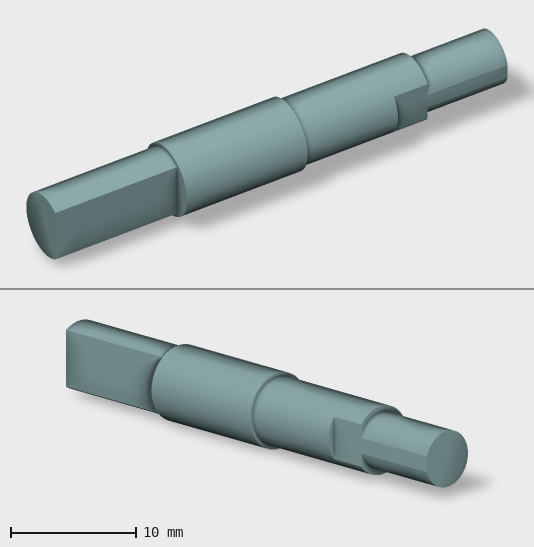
import cadquery as cq

total_length = 42.0

journal_diameter = 5.71
collar_diameter = 6.325
tail_diameter = 4.68

drive_length = 11.4
collar_length = 11.3
tail_length = 7.5
rear_journal_length = total_length - drive_length - collar_length - tail_length

drive_flat_offset = 1.6
rear_flat_offset = 2.25
rear_flat_length = 10.65

collar_start = drive_length
rear_journal_start = collar_start + collar_length
tail_start = rear_journal_start + rear_journal_length


def cylinder(diameter, start, length):
    """Solid cylinder on the Y axis, running from start towards +Y."""
    base = cq.Workplane("XZ", origin=(0, start, 0))
    return base.circle(diameter / 2).extrude(-length)


def flat_cutter(offset, start, length):
    """Block that removes everything beyond X = offset along the given length."""
    size = collar_diameter
    block = cq.Workplane("XY").box(size, length, size, centered=(False, False, True))
    return block.translate((offset, start, 0))


drive_end = cylinder(journal_diameter, 0, drive_length)
drive_end = drive_end.cut(flat_cutter(drive_flat_offset, 0, drive_length))

collar = cylinder(collar_diameter, collar_start, collar_length)

rear_journal = cylinder(journal_diameter, rear_journal_start, rear_journal_length)
tail = cylinder(tail_diameter, tail_start, tail_length)

rear_flat_start = total_length - rear_flat_length
rear_end = rear_journal.union(tail)
rear_end = rear_end.cut(flat_cutter(rear_flat_offset, rear_flat_start, rear_flat_length))

result = drive_end.union(collar).union(rear_end)